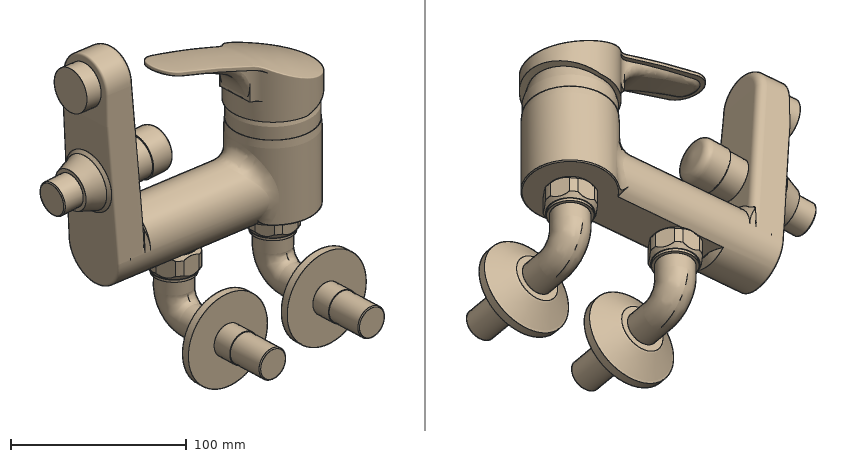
import cadquery as cq
import math


body_radius = 28.2
body_top_radius = 27.7
body_shoulder_z = 50.0
body_top_z = 55.2
cover_radius = 27.5
cover_shoulder_z = 63.5
cover_top_radius = 24.5
cover_top_z = 74.4
edge_break = 0.7

hub_radius = 29.0
hub_bottom_z = 67.5
hub_rear_top_z = 84.5
hub_rear_bottom_z = 75.0
handle_mid = (-18.0, 102.5)
lever_tip_y = -93.3
lever_tip_top_z = 122.1
lever_tip_bottom_z = 117.5
lever_underside_mid = (-68.0, 111.0)
lever_edge_thickness = 2.5
lever_root_half_width = 17.4
lever_end_half_width = 13.6
lever_neck_fillet = 11.0
crown_radius = 112.2
neck_bottom_z = 80.5
stem_root_half_width = 13.6
stem_end_half_width = 10.5
stem_tip_y = -90.9
stem_edge_fillet = 4.8
stem_start = (-hub_radius, 82.5)
stem_bend = (-33.5, 92.6)
stem_end = (-46.2, 102.8)
handle_edge_fillet = 0.7

prism_height = 220.0
overlap = 2.2

arm_radius = 21.5
arm_axis_z = 17.2
arm_fillet = 10.5
block_start_y = -99.7
block_ramp = 3.7
block_end_y = -127.6
gusset_start_y = -112.2
gusset_length = 4.5
gusset_rise = 4.5

plate_tilt = 4.1
plate_front_y = -135.3
plate_bend_z = 107.4
plate_thickness = 23.0
plate_top_center_z = 127.6
plate_top_radius = 19.0
plate_bottom_z = arm_axis_z - arm_radius
plate_top_z = plate_top_center_z + plate_top_radius
plate_lean = math.tan(math.radians(plate_tilt))
plate_front_fillet = 1.5
plate_back_fillet = 5.0
spout_radius = 14.0
spout_length = 10.8

diverter_z = 64.3
cone_base_radius = 17.5
cone_end_radius = 13.2
cone_length = 13.9
cone_flare = 2.0
outlet_radius = 10.8
outlet_length = 14.3
outlet_chamfer = 0.7
knob_neck_radius = 13.6
knob_radius = 14.5
knob_step = 36.5
knob_shoulder = 48.2
knob_end = 54.8
knob_dome_radius = 10.0
knob_dome_depth = 1.3

inlet_spacing = 75.3
nut_across_flats = 30.0
nut_corner_radius = 16.0
nut_height = 15.6
nut_end_radius = 14.0
nut_top_chamfer = 2.6
nut_bottom_chamfer = 3.3
collar_radius = 13.6
collar_height = 1.8
riser_radius = 11.9
pipe_radius = 10.5
elbow_radius = 16.3
pipe_axis_z = -43.3
thread_radius = 10.1
thread_start_x = 59.6
pipe_end_x = 85.0
rose_radius = 30.1
rose_front_radius = 15.8
rose_front_x = 31.0
rose_rim_x = 40.5
rose_back_x = 46.2
rose_chamfer = 1.0


def mixer_body():
    """Stepped cylinder with a slightly tapered cover under the handle."""
    profile = [
        (0, 0),
        (body_radius - edge_break, 0),
        (body_radius, edge_break),
        (body_radius, body_shoulder_z),
        (body_top_radius, body_top_z),
        (cover_radius, body_top_z),
        (cover_radius, cover_shoulder_z),
        (cover_top_radius, cover_top_z),
        (0, cover_top_z),
    ]
    return cq.Workplane("XZ").polyline(profile).close().revolve(360, (0, 0), (0, 1))


def body_with_arm():
    """Mixer body blended into the arm, whose underside is flush with the body."""
    arm = (
        cq.Workplane("XZ").center(0, arm_axis_z).circle(arm_radius)
        .extrude(-block_end_y)
    )
    above_underside = cq.Workplane("XY").rect(2 * body_radius, -2 * block_end_y).extrude(body_top_z)
    joined = mixer_body().union(arm.intersect(above_underside))
    blend_zone = cq.selectors.BoxSelector(
        (-body_radius, -body_radius - 2.2, 2.2),
        (body_radius, -body_radius / 3, body_shoulder_z),
    )
    return joined.edges(blend_zone).fillet(arm_fillet)


def face_rim(solid, point):
    """Outer edges of the face centred nearest to a point, without level creases."""
    return solid.faces(cq.selectors.NearestToPointSelector(point)).edges("not |X").vals()


def hub_with_lever(root_half_width, end_half_width, tip_y):
    """Round hub and tapering lever with a rounded end, as a tall prism along Z."""
    end_center_y = tip_y + end_half_width
    hub = cq.Workplane("XY", origin=(0, 0, neck_bottom_z)).circle(hub_radius).extrude(prism_height)
    lever = (
        cq.Workplane("XY", origin=(0, 0, neck_bottom_z))
        .moveTo(-root_half_width, 0)
        .lineTo(-end_half_width, end_center_y)
        .threePointArc((0, tip_y), (end_half_width, end_center_y))
        .lineTo(root_half_width, 0)
        .close().extrude(prism_height)
    )
    neck = cq.selectors.BoxSelector(
        (-hub_radius, -hub_radius, neck_bottom_z),
        (hub_radius, -hub_radius / 2, neck_bottom_z + prism_height),
    )
    return hub.union(lever).edges(neck).edges("|Z").fillet(lever_neck_fillet)


def arc_center(a, b, c):
    """Centre of the circle through three points."""
    d = 2 * (a[0] * (b[1] - c[1]) + b[0] * (c[1] - a[1]) + c[0] * (a[1] - b[1]))
    sa, sb, sc = (p[0] ** 2 + p[1] ** 2 for p in (a, b, c))
    u = (sa * (b[1] - c[1]) + sb * (c[1] - a[1]) + sc * (a[1] - b[1])) / d
    v = (sa * (c[0] - b[0]) + sb * (a[0] - c[0]) + sc * (b[0] - a[0])) / d
    return u, v


def crowned_barrel(thickness_below):
    """Barrel about an X axis whose skin is the handle top, or a surface parallel to it."""
    rear_top = (hub_radius, hub_rear_top_z)
    center_y, center_z = arc_center(rear_top, handle_mid, (lever_tip_y, lever_tip_top_z))
    barrel_radius = math.hypot(rear_top[0] - center_y, rear_top[1] - center_z) - thickness_below
    half = hub_radius + overlap
    crown_sag = crown_radius - math.sqrt(crown_radius ** 2 - half ** 2)
    return (
        cq.Workplane("XZ", origin=(0, center_y, center_z))
        .moveTo(-half, 0)
        .lineTo(-half, barrel_radius - crown_sag)
        .threePointArc((0, barrel_radius), (half, barrel_radius - crown_sag))
        .lineTo(half, 0)
        .close().revolve(360, (0, 0), (1, 0))
    )


def handle():
    """Hub and narrow stem under a thin crowned plate that carries on as the lever."""
    space_above = (
        cq.Workplane("YZ")
        .moveTo(hub_radius, prism_height)
        .lineTo(hub_radius, hub_rear_bottom_z)
        .lineTo(0, hub_bottom_z)
        .lineTo(-hub_radius, hub_bottom_z)
        .lineTo(*stem_start)
        .threePointArc(stem_bend, stem_end)
        .threePointArc(lever_underside_mid, (lever_tip_y, lever_tip_bottom_z))
        .lineTo(lever_tip_y, prism_height)
        .close().extrude(hub_radius, both=True)
    )
    hub = cq.Workplane("XY").circle(hub_radius).extrude(prism_height).intersect(space_above)
    stem = hub_with_lever(stem_root_half_width, stem_end_half_width, stem_tip_y).intersect(space_above)
    underside_rim = face_rim(stem, (0, *stem_bend)) + face_rim(stem, (0, *lever_underside_mid))
    stem = stem.newObject(underside_rim).fillet(stem_edge_fillet)
    lever = (
        hub_with_lever(lever_root_half_width, lever_end_half_width, lever_tip_y)
        .cut(crowned_barrel(lever_edge_thickness))
    )
    whole = hub.union(stem).union(lever).intersect(crowned_barrel(0))
    top_rim = face_rim(whole, (0, *handle_mid))
    return whole.newObject(top_rim).fillet(handle_edge_fillet)


def plate_outline():
    """Tapering outline of the plate with round ends, as a prism along Y."""
    return (
        cq.Workplane("XZ")
        .moveTo(-arm_radius, arm_axis_z)
        .threePointArc((0, plate_bottom_z), (arm_radius, arm_axis_z))
        .lineTo(plate_top_radius, plate_top_center_z)
        .threePointArc((0, plate_top_z), (-plate_top_radius, plate_top_center_z))
        .close().extrude(prism_height)
    )


def gusset():
    """Small conical flare from the arm to the back of the plate, no wider than the plate."""
    cone = (
        cq.Workplane("XZ", origin=(0, gusset_start_y, arm_axis_z))
        .circle(arm_radius)
        .workplane(offset=gusset_length).circle(arm_radius + gusset_rise)
        .loft()
    )
    return cone.intersect(plate_outline())


def plate():
    """Leaning plate with round ends; its front stands upright near the spout."""
    upper_front_y = plate_front_y - plate_lean * (plate_bend_z - plate_bottom_z)
    lower_back_y = plate_front_y + plate_thickness
    upper_back_y = lower_back_y - plate_lean * (plate_top_center_z - plate_bottom_z)
    side = (
        cq.Workplane("YZ")
        .polyline([
            (plate_front_y, plate_bottom_z),
            (upper_front_y, plate_bend_z),
            (upper_front_y, plate_top_z),
            (upper_back_y, plate_top_z),
            (upper_back_y, plate_top_center_z),
            (lower_back_y, plate_bottom_z),
        ])
        .close().extrude(arm_radius, both=True)
    )
    solid = side.intersect(plate_outline())
    middle_z = (plate_bottom_z + plate_bend_z) / 2
    front_rim = (
        face_rim(solid, (0, upper_front_y, plate_top_center_z))
        + face_rim(solid, (0, (plate_front_y + upper_front_y) / 2, middle_z))
    )
    solid = solid.newObject(front_rim).fillet(plate_front_fillet)
    back_rim = (
        face_rim(solid, (0, upper_back_y, plate_top_z - plate_top_radius / 2))
        + face_rim(solid, (0, (lower_back_y + upper_back_y) / 2, middle_z))
    )
    solid = solid.newObject(back_rim).fillet(plate_back_fillet)
    spout = (
        cq.Workplane("XZ", origin=(0, upper_front_y + overlap, plate_top_center_z))
        .circle(spout_radius).extrude(spout_length + overlap)
    )
    return solid.union(spout)


def arm_end_block():
    """Full round end of the arm, ramped where it drops below the arm's flat underside."""
    return (
        cq.Workplane("XZ", origin=(0, block_start_y + block_ramp, arm_axis_z))
        .circle(arm_radius).extrude(block_start_y + block_ramp - block_end_y)
        .faces(">Y").chamfer(block_ramp)
    )


def diverter():
    """Flared cone and outlet in front of the plate, rounded knob behind it."""
    face_y = plate_front_y - plate_lean * (diverter_z - plate_bottom_z)
    outlet_end = cone_length + outlet_length
    knob_round_end = knob_end - knob_dome_depth
    knob_corner_center = (knob_dome_radius, knob_shoulder)
    knob_corner = (
        knob_corner_center[0] + (knob_radius - knob_dome_radius) * math.sqrt(0.5),
        knob_corner_center[1] + (knob_round_end - knob_shoulder) * math.sqrt(0.5),
    )
    turned = (
        cq.Workplane("XY")
        .moveTo(0, -outlet_end)
        .lineTo(outlet_radius - outlet_chamfer, -outlet_end)
        .lineTo(outlet_radius, -outlet_end + outlet_chamfer)
        .lineTo(outlet_radius, -cone_length)
        .lineTo(cone_end_radius, -cone_length)
        .lineTo(cone_base_radius, -cone_flare)
        .lineTo(cone_base_radius + cone_flare, 0)
        .lineTo(cone_base_radius, overlap)
        .lineTo(knob_neck_radius, overlap)
        .lineTo(knob_neck_radius, knob_step)
        .lineTo(knob_radius, knob_step)
        .lineTo(knob_radius, knob_shoulder)
        .threePointArc(knob_corner, (knob_dome_radius, knob_round_end))
        .lineTo(0, knob_end)
        .close().revolve(360, (0, 0), (0, 1))
    )
    return turned.rotate((0, 0, 0), (1, 0, 0), plate_tilt).translate((0, face_y, diverter_z))


def nut():
    """Hexagon with turned-off corners and chamfered ends, hanging below z = 0."""
    hexagon = (
        cq.Workplane("XY").polygon(6, nut_across_flats, circumscribed=True)
        .extrude(-nut_height)
    )
    turned = cq.Workplane("XZ").polyline([
        (0, 0),
        (nut_end_radius, 0),
        (nut_corner_radius, -nut_top_chamfer),
        (nut_corner_radius, -nut_height + nut_bottom_chamfer),
        (nut_end_radius, -nut_height),
        (0, -nut_height),
    ]).close().revolve(360, (0, 0), (0, 1))
    return hexagon.intersect(turned)


def wall_connection():
    """Nut, tapering elbow, threaded pipe and conical wall rose."""
    elbow_top_z = pipe_axis_z + elbow_radius
    bend = elbow_radius * (1 - math.sqrt(0.5))
    collar = (
        cq.Workplane("XY").circle(collar_radius).extrude(-nut_height - collar_height)
    )
    riser = cq.Workplane("XY").circle(riser_radius).extrude(elbow_top_z)
    path = (
        cq.Workplane("XZ").moveTo(0, elbow_top_z)
        .threePointArc((bend, pipe_axis_z + bend), (elbow_radius, pipe_axis_z))
    )
    start = cq.Wire.makeCircle(riser_radius, cq.Vector(0, 0, elbow_top_z), cq.Vector(0, 0, -1))
    end = cq.Wire.makeCircle(pipe_radius, cq.Vector(elbow_radius, 0, pipe_axis_z), cq.Vector(1, 0, 0))
    elbow = cq.Workplane(cq.Solid.sweep_multi([start, end], path.val()))
    pipe = cq.Workplane("XY").polyline([
        (elbow_radius, 0),
        (elbow_radius, pipe_radius),
        (rose_front_x, pipe_radius),
        (rose_front_x, rose_front_radius - rose_chamfer),
        (rose_front_x + rose_chamfer / 2, rose_front_radius),
        (rose_rim_x, rose_radius - rose_chamfer),
        (rose_rim_x + rose_chamfer / 2, rose_radius),
        (rose_back_x, rose_radius),
        (rose_back_x, pipe_radius),
        (thread_start_x, pipe_radius),
        (thread_start_x, thread_radius),
        (pipe_end_x - edge_break, thread_radius),
        (pipe_end_x, thread_radius - edge_break),
        (pipe_end_x, 0),
    ]).close().revolve(360, (0, 0), (1, 0)).translate((0, 0, pipe_axis_z))
    return nut().union(collar).union(riser).union(elbow).union(pipe)


result = body_with_arm()
for feature in (handle(), arm_end_block(), gusset(), plate(), diverter()):
    result = result.union(feature)
for inlet_y in (0, -inlet_spacing):
    result = result.union(wall_connection().translate((0, inlet_y, 0)))